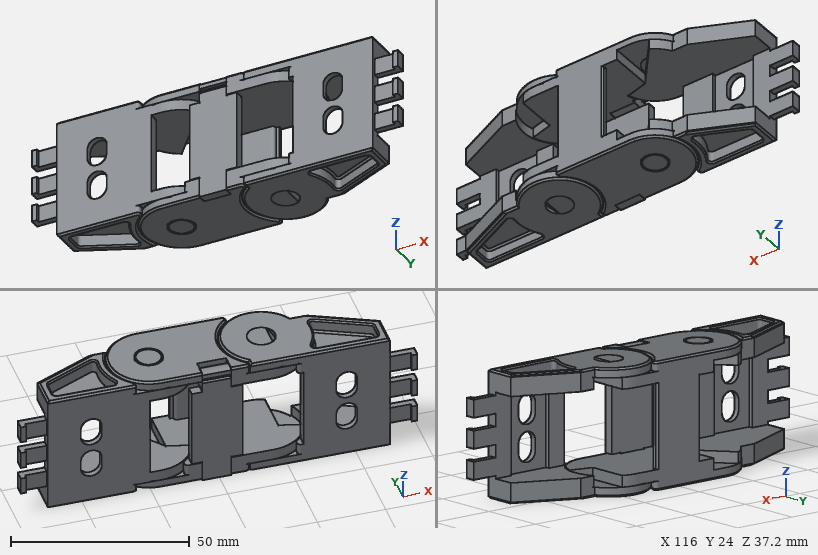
import cadquery as cq
import math

LENGTH = 116.0
HEIGHT = 24.0
HALF_WIDTH = 18.6
LAYER_Z = 15.8
INNER_Z = 12.4
EDGE_CHAMFER = 0.6

LEFT_PIN_X = -16.9
RIGHT_PIN_X = 16.0
PIN_Y = HEIGHT / 2
PIN_RADIUS = 4.1
PIN_CHAMFER = 0.5
RAMP_START = 2.3
RAMP_DROP = 1.4
ARM_RADIUS = HEIGHT / 2
RECESS_RADIUS = 12.3
SHOULDER = 6.8
RECESS_SHOULDER = 7.1
TIP_FILLET = 0.9
STOP_X = 4.5
STOP_DROP = 1.5
STOP_ANGLE = 14.0
ARM_CUT_ANGLE = 40.0

LEFT_END_X = -50.1
RIGHT_END_X = 50.0
LEFT_PLATE_END_X = -20.2
RIGHT_PLATE_END_X = 24.7
PLATE_THICKNESS = 3.1
FLAT_Y = 18.1
FLAT_REACH = 15.4
SLOPE = 0.45
POCKET_DEPTH = 4.0
POCKET_RIM_CHAMFER = 0.5
POCKET_FLOOR_CHAMFER = 0.6
POCKET_ARC_RADIUS = 14.7
POCKET_END_MARGIN = 2.5
POCKET_FRONT_MARGIN = 2.5
POCKET_SLOPE_MARGIN = 2.9
POCKET_FILLET = 1.0
SLOT_X = 37.4
SLOT_Z = 5.5
SLOT_WIDTH = 6.1
SLOT_LENGTH = 8.8
SLOT_PLATE_THICKNESS = 1.9
THIN_HALF_LENGTH = 7.0
TONGUE_WIDTH = 5.2
TONGUE_PITCH = 8.9
TONGUE_BOTTOM_Y = 1.2
HOOK_LENGTH = 1.6

BACK_BAR_Y = 21.2
BACK_BAR_LEFT_X = -6.5
BACK_BAR_RIGHT_X = 7.4
BACK_BAR_FILLET = 0.9
BACK_FLANGE_Y = 22.4
BACK_FLANGE_LEFT_X = -7.5
BACK_FLANGE_RIGHT_X = 8.5

CROSSBAR_LEFT_X = -8.0
CROSSBAR_RIGHT_X = 7.0
CROSSBAR_GAP = 0.2
CROSSBAR_THICKNESS = 2.8
NECK_LEFT_X = -4.9
NECK_RIGHT_X = 3.6
HOOK_DEPTH = 5.1
HOOK_BACK_Z = 16.6
HOOK_FRONT_Z = 18.0
HOOK_CREST_Y = 1.9
HOOK_CREST_Z = 18.3
GROOVE_BOTTOM_Z = 15.2
GROOVE_TOP_Z = 16.6
GROOVE_DEPTH = 1.4
RELIEF_LEFT_X = -10.3
RELIEF_DEPTH = 6.0


def box(x0, x1, y0, y1, z0, z1):
    """Box between two opposite corners, its X limits given in either order."""
    corner = (min(x0, x1), y0, z0)
    return cq.Workplane("XY").box(abs(x1 - x0), y1 - y0, z1 - z0, centered=False).translate(corner)


def disc(x, radius, z0, z1):
    """Cylinder on a hinge axis."""
    return cq.Workplane("XY", origin=(x, PIN_Y, z0)).circle(radius).extrude(z1 - z0)


def both_sides(side):
    """The side wall at +Z together with its mirror image at -Z."""
    return side.union(side.mirror("XY"))


def chamfer_outer_face(plate):
    """Break all edges of a plate's +Z face."""
    return plate.faces(">Z").edges().chamfer(EDGE_CHAMFER)


def fillet_tip(plate, x, y=0):
    """Round the edge along Z where a recess meets the front or back face."""
    near_tip = cq.selectors.NearestToPointSelector((x, y, LAYER_Z))
    return plate.edges("|Z").edges(near_tip).fillet(TIP_FILLET)


def arm_recess(pin_x, direction, z0, z1):
    """Clearance for a round arm; direction is the way its straight shoulders face."""
    shoulder_x = pin_x - direction * RECESS_SHOULDER
    clearance = box(shoulder_x, pin_x + direction * LENGTH, 0, HEIGHT, z0, z1)
    return clearance.union(disc(pin_x, RECESS_RADIUS, z0, z1))


def stop_sector(pin_x, back_tilt=0):
    """Upper right sector at a hinge that serves as rotation stop; back_tilt leans its rear edge to -X."""
    corner_x = pin_x + STOP_X
    corner_y = PIN_Y - STOP_DROP
    reach = 2 * ARM_RADIUS
    lean = reach * math.tan(math.radians(back_tilt))
    fall = reach * math.tan(math.radians(STOP_ANGLE))
    return (
        cq.Workplane("XY", origin=(0, 0, INNER_Z))
        .polyline([
            (corner_x, corner_y),
            (corner_x + reach, corner_y - fall),
            (corner_x + reach, corner_y + reach),
            (corner_x - lean, corner_y + reach),
        ])
        .close()
        .extrude(LAYER_Z - INNER_Z)
    )


def round_pin():
    """Pin with a chamfered end, level with the outer face."""
    return disc(LEFT_PIN_X, PIN_RADIUS, LAYER_Z, HALF_WIDTH).faces(">Z").edges().chamfer(PIN_CHAMFER)


def ramped_pin():
    """Pin whose outer end slopes away on the +X side."""
    ramp = (
        cq.Workplane("XZ", origin=(RIGHT_PIN_X, HEIGHT, 0))
        .polyline([
            (RAMP_START, HALF_WIDTH),
            (PIN_RADIUS, HALF_WIDTH),
            (PIN_RADIUS, HALF_WIDTH - RAMP_DROP),
        ])
        .close()
        .extrude(HEIGHT)
    )
    return disc(RIGHT_PIN_X, PIN_RADIUS, LAYER_Z, HALF_WIDTH).cut(ramp)


def slope_height(pin_x, direction, x):
    """Y of the sloped edge at x; direction points from the hinge to the bracket's end."""
    return FLAT_Y - SLOPE * (direction * (x - pin_x) - FLAT_REACH)


def flank(pin_x, end_x, direction, z0, z1):
    """Side wall between the hinge axis and the bracket's end."""
    return (
        cq.Workplane("XY", origin=(0, 0, z0))
        .polyline([
            (pin_x, 0),
            (end_x, 0),
            (end_x, slope_height(pin_x, direction, end_x)),
            (pin_x + direction * FLAT_REACH, FLAT_Y),
            (pin_x, FLAT_Y),
        ])
        .close()
        .extrude(z1 - z0)
    )


def pocket(pin_x, end_x, direction):
    """Pocket in the outer face, bounded by an arc about the hinge axis."""
    floor_z = HALF_WIDTH - POCKET_DEPTH
    outer_x = end_x - direction * POCKET_END_MARGIN
    prism = (
        cq.Workplane("XY", origin=(0, 0, floor_z))
        .polyline([
            (pin_x, POCKET_FRONT_MARGIN),
            (outer_x, POCKET_FRONT_MARGIN),
            (outer_x, slope_height(pin_x, direction, outer_x) - POCKET_SLOPE_MARGIN),
            (pin_x, slope_height(pin_x, direction, pin_x) - POCKET_SLOPE_MARGIN),
        ])
        .close()
        .extrude(POCKET_DEPTH)
    )
    prism = prism.cut(disc(pin_x, POCKET_ARC_RADIUS, floor_z, HALF_WIDTH))
    return prism.edges("|Z").fillet(POCKET_FILLET)


def cut_pocket(side, recess):
    """Cut a pocket and chamfer its rim."""
    limits = recess.val().BoundingBox()
    around_rim = cq.selectors.BoxSelector(
        (limits.xmin, limits.ymin, HALF_WIDTH - POCKET_RIM_CHAMFER),
        (limits.xmax, limits.ymax, HALF_WIDTH + POCKET_RIM_CHAMFER),
    )
    return side.cut(recess).edges(around_rim).chamfer(POCKET_RIM_CHAMFER)


def base_plate(end_x, plate_end_x, direction):
    """Front plate with two slots and three hooked tongues."""
    plate = box(end_x, plate_end_x, 0, PLATE_THICKNESS, -INNER_Z, INNER_Z)
    slots = (
        cq.Workplane("XZ")
        .pushPoints([(direction * SLOT_X, -SLOT_Z), (direction * SLOT_X, SLOT_Z)])
        .slot2D(SLOT_LENGTH, SLOT_WIDTH, 90)
        .extrude(-PLATE_THICKNESS)
    )
    thin_x = direction * SLOT_X
    thinning = box(
        thin_x - THIN_HALF_LENGTH, thin_x + THIN_HALF_LENGTH,
        SLOT_PLATE_THICKNESS, PLATE_THICKNESS, -INNER_Z, INNER_Z,
    )
    plate = plate.cut(slots).cut(thinning)
    tip_x = direction * LENGTH / 2
    for row in (-1, 0, 1):
        z0 = row * TONGUE_PITCH - TONGUE_WIDTH / 2
        z1 = z0 + TONGUE_WIDTH
        plate = plate.union(box(end_x, tip_x, TONGUE_BOTTOM_Y, PLATE_THICKNESS, z0, z1))
        plate = plate.union(box(tip_x - direction * HOOK_LENGTH, tip_x, 0, PLATE_THICKNESS, z0, z1))
    return plate


def make_left_bracket():
    """Bracket whose arms run inside the link and carry round pins."""
    arm = flank(LEFT_PIN_X, LEFT_END_X, -1, INNER_Z, LAYER_Z)
    arm = arm.union(disc(LEFT_PIN_X, ARM_RADIUS, INNER_Z, LAYER_Z))
    arm = arm.cut(stop_sector(LEFT_PIN_X, ARM_CUT_ANGLE))
    cover = flank(LEFT_PIN_X, LEFT_END_X, -1, LAYER_Z, HALF_WIDTH)
    cover = cover.cut(arm_recess(LEFT_PIN_X, 1, LAYER_Z, HALF_WIDTH))
    cover = fillet_tip(cover, LEFT_PIN_X - RECESS_SHOULDER)
    cover = chamfer_outer_face(cover)
    side = arm.union(cover).union(round_pin())
    side = cut_pocket(side, pocket(LEFT_PIN_X, LEFT_END_X, -1))
    return both_sides(side).union(base_plate(LEFT_END_X, LEFT_PLATE_END_X, -1))


def make_right_bracket():
    """Bracket whose arms run outside the link and hold its ramped pins."""
    wall = flank(RIGHT_PIN_X, RIGHT_END_X, 1, INNER_Z, LAYER_Z)
    wall = wall.cut(arm_recess(RIGHT_PIN_X, -1, INNER_Z, LAYER_Z))
    wall = fillet_tip(wall, RIGHT_PIN_X + RECESS_SHOULDER)
    arm = flank(RIGHT_PIN_X, RIGHT_END_X, 1, LAYER_Z, HALF_WIDTH)
    arm = arm.union(disc(RIGHT_PIN_X, ARM_RADIUS, LAYER_Z, HALF_WIDTH))
    arm = arm.union(box(RIGHT_PIN_X - SHOULDER, RIGHT_PIN_X, 0, PIN_Y, LAYER_Z, HALF_WIDTH))
    arm = chamfer_outer_face(arm)
    arm = arm.cut(disc(RIGHT_PIN_X, PIN_RADIUS, LAYER_Z, HALF_WIDTH))
    recess = pocket(RIGHT_PIN_X, RIGHT_END_X, 1).faces("<Z").edges().chamfer(POCKET_FLOOR_CHAMFER)
    side = cut_pocket(wall.union(arm), recess)
    return both_sides(side).union(base_plate(RIGHT_END_X, RIGHT_PLATE_END_X, 1))


def link_side():
    """One side of the link: inner layer, outer layer and the pin for the right bracket."""
    inner = box(LEFT_PIN_X, RIGHT_PIN_X, 0, HEIGHT, INNER_Z, LAYER_Z)
    inner = inner.cut(arm_recess(LEFT_PIN_X, -1, INNER_Z, LAYER_Z))
    inner = fillet_tip(inner, LEFT_PIN_X + RECESS_SHOULDER)
    left_stop = stop_sector(LEFT_PIN_X).intersect(box(LEFT_PIN_X, 0, 0, HEIGHT, INNER_Z, LAYER_Z))
    inner = inner.union(left_stop)
    inner = inner.union(disc(RIGHT_PIN_X, ARM_RADIUS, INNER_Z, LAYER_Z))
    inner = inner.cut(stop_sector(RIGHT_PIN_X))
    outer = box(LEFT_PIN_X, RIGHT_PIN_X, 0, HEIGHT, LAYER_Z, HALF_WIDTH)
    outer = outer.union(disc(LEFT_PIN_X, ARM_RADIUS, LAYER_Z, HALF_WIDTH))
    outer = outer.cut(arm_recess(RIGHT_PIN_X, 1, LAYER_Z, HALF_WIDTH))
    outer = fillet_tip(outer, RIGHT_PIN_X - RECESS_SHOULDER, 0)
    outer = fillet_tip(outer, RIGHT_PIN_X - RECESS_SHOULDER, HEIGHT)
    outer = chamfer_outer_face(outer)
    outer = outer.cut(disc(LEFT_PIN_X, PIN_RADIUS, LAYER_Z, HALF_WIDTH))
    return inner.union(outer).union(ramped_pin())


def back_bar():
    """Fixed bar joining the two sides, with a wider flange along its back."""
    bar = box(BACK_BAR_LEFT_X, BACK_BAR_RIGHT_X, BACK_BAR_Y, HEIGHT, -INNER_Z, INNER_Z)
    bar = bar.faces("<Y").edges("|Z").fillet(BACK_BAR_FILLET)
    flange = box(BACK_FLANGE_LEFT_X, BACK_FLANGE_RIGHT_X, BACK_FLANGE_Y, HEIGHT, -INNER_Z, INNER_Z)
    return bar.union(flange.faces(">Y").edges("|Z").chamfer(EDGE_CHAMFER))


def make_link():
    """Centre link, notched to take the crossbar."""
    link = both_sides(link_side()).union(back_bar())
    link = link.cut(box(NECK_LEFT_X, NECK_RIGHT_X, 0, HOOK_DEPTH, INNER_Z, HALF_WIDTH))
    link = link.cut(box(NECK_LEFT_X, NECK_RIGHT_X, 0, CROSSBAR_THICKNESS, -HALF_WIDTH, -INNER_Z))
    return link.cut(box(RELIEF_LEFT_X, NECK_LEFT_X, 0, RELIEF_DEPTH, INNER_Z, LAYER_Z))


def crossbar_hook():
    """Rounded hook at the top, with a groove across its front face and a bead in the groove."""
    root_z = INNER_Z - CROSSBAR_GAP
    hook = (
        cq.Workplane("YZ", origin=(NECK_LEFT_X, 0, 0))
        .moveTo(0, root_z)
        .lineTo(0, HOOK_FRONT_Z)
        .threePointArc((HOOK_CREST_Y, HOOK_CREST_Z), (HOOK_DEPTH, HOOK_BACK_Z))
        .lineTo(HOOK_DEPTH, INNER_Z)
        .lineTo(CROSSBAR_THICKNESS, root_z)
        .close()
        .extrude(NECK_RIGHT_X - NECK_LEFT_X)
    )
    groove = box(NECK_LEFT_X, NECK_RIGHT_X, 0, GROOVE_DEPTH, GROOVE_BOTTOM_Z, GROOVE_TOP_Z)
    bead_z = (GROOVE_BOTTOM_Z + GROOVE_TOP_Z) / 2
    bead_radius = (GROOVE_TOP_Z - GROOVE_BOTTOM_Z) / 2
    bead = (
        cq.Workplane("YZ", origin=(NECK_LEFT_X, GROOVE_DEPTH, bead_z))
        .circle(bead_radius)
        .extrude(NECK_RIGHT_X - NECK_LEFT_X)
    )
    return hook.cut(groove).union(bead)


def make_crossbar():
    """Front bar with a plain neck at the bottom and a hook at the top."""
    end_z = INNER_Z - CROSSBAR_GAP
    bar = box(CROSSBAR_LEFT_X, CROSSBAR_RIGHT_X, 0, CROSSBAR_THICKNESS, -end_z, end_z)
    bar = bar.union(box(NECK_LEFT_X, NECK_RIGHT_X, 0, CROSSBAR_THICKNESS, -HALF_WIDTH, -end_z))
    return bar.union(crossbar_hook())


left_bracket = make_left_bracket()
right_bracket = make_right_bracket()
link = make_link()
crossbar = make_crossbar()
bodies = [left_bracket, right_bracket, link, crossbar]

result = cq.Compound.makeCompound([body.solids().val() for body in bodies])